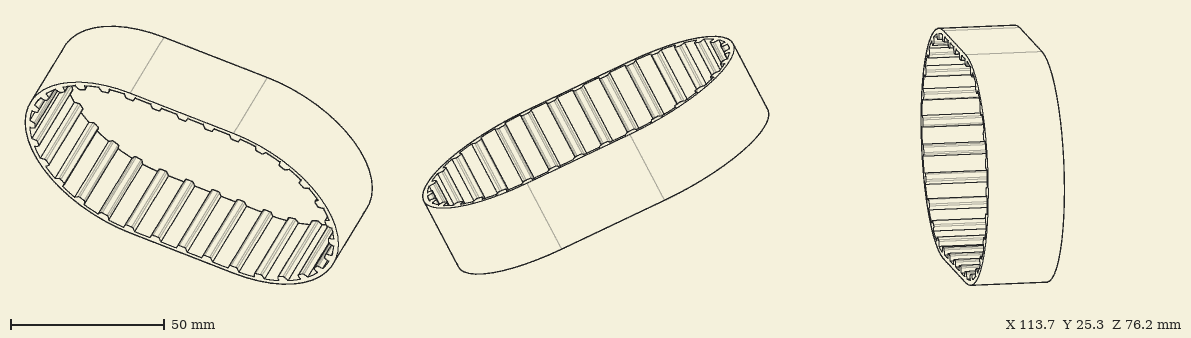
import cadquery as cq
import math

overall_length = 113.7
overall_height = 76.2
belt_width = 25.3

tooth_count = 32
band_thickness = 1.7
tooth_height = 1.9
tooth_root_width = 4.0
flank_angle = 20.0
tip_radius = 0.6
pitch_line_depth = 1.5
seam_shortfall = 0.3
root_overlap = 0.6

outer_radius = overall_height / 2
straight_length = overall_length - overall_height
pitch_radius = outer_radius - pitch_line_depth
arc_length = math.pi * pitch_radius
half_loop = straight_length + arc_length
tooth_pitch = (2 * half_loop + seam_shortfall) / tooth_count


def racetrack(inset):
    """Solid filling the belt outline offset inwards by the given inset."""
    length = overall_length - 2 * inset
    height = overall_height - 2 * inset
    return cq.Workplane("XZ").slot2D(length, height).extrude(belt_width / 2, both=True)


def straight_tooth():
    """Tooth pointing down, with the middle of its root at the origin."""
    slope = math.tan(math.radians(flank_angle))
    half_root = tooth_root_width / 2
    half_tip = half_root - tooth_height * slope
    half_base = half_root + root_overlap * slope
    tooth = (
        cq.Workplane("XZ")
        .polyline([
            (-half_base, root_overlap),
            (half_base, root_overlap),
            (half_tip, -tooth_height),
            (-half_tip, -tooth_height),
        ])
        .close()
        .extrude(belt_width / 2, both=True)
    )
    return tooth.faces("<Z").edges("|Y").fillet(tip_radius)


def place_on_belt(tooth, distance):
    """Move a tooth clockwise along the pitch line, from the middle of the top run."""
    half_turns, travel = divmod(distance + straight_length / 2, half_loop)
    along_straight = min(travel, straight_length) - straight_length / 2
    turn = math.degrees(max(travel - straight_length, 0) / pitch_radius)
    pulley_centre = (straight_length / 2, 0, 0)
    pulley_axis_end = (straight_length / 2, 1, 0)
    return (
        tooth.translate((along_straight, 0, outer_radius - band_thickness))
        .rotate(pulley_centre, pulley_axis_end, turn)
        .rotate((0, 0, 0), (0, 1, 0), 180 * half_turns)
    )


belt = racetrack(0).cut(racetrack(band_thickness))
tooth = straight_tooth()
for index in range(tooth_count):
    belt = belt.union(place_on_belt(tooth, half_loop + index * tooth_pitch))

result = belt